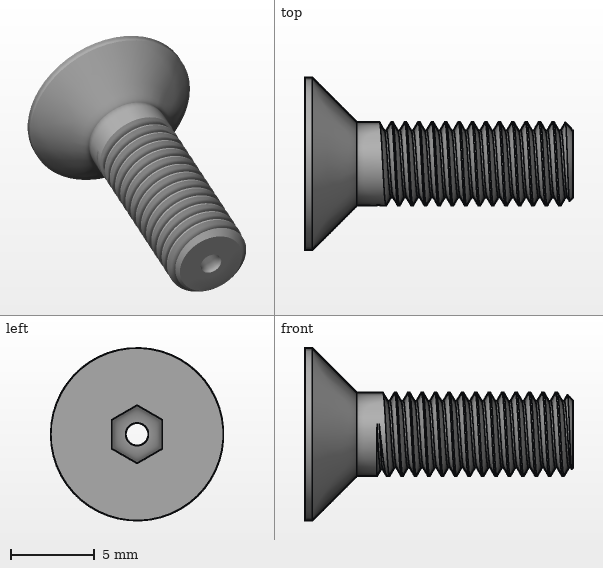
import cadquery as cq
import math

length = 16.0
head_radius = 5.155
head_height = 3.1
shank_radius = 2.5
rim_thickness = head_height - (head_radius - shank_radius)

socket_across_flats = 3.0
socket_depth = 1.2
bore_diameter = 1.33

pitch = 0.8
flank_angle = 30
depth_per_pitch = 0.613
flank_slope = math.tan(math.radians(flank_angle))
crest_flat = pitch / 8
thread_depth = depth_per_pitch * pitch
root_half_width = (pitch - crest_flat) / 2 - thread_depth * flank_slope
tip_chamfer = thread_depth

groove_start_x = 4.37
groove_start_degrees = 166
fade_in_turns = 0.5
stations_per_turn = 16
cutter_clearance = 0.1
groove_turns = (length + pitch - groove_start_x) / pitch


def make_blank():
    """Head and shank as one turned body."""
    return (
        cq.Workplane("XY")
        .moveTo(0, 0)
        .lineTo(0, head_radius)
        .lineTo(rim_thickness, head_radius)
        .lineTo(head_height, shank_radius)
        .lineTo(length - tip_chamfer, shank_radius)
        .lineTo(length, shank_radius - tip_chamfer)
        .lineTo(length, 0)
        .close()
        .revolve(360, (0, 0, 0), (1, 0, 0))
    )


def groove_depth(turn):
    """Depth below the shank surface; it deepens smoothly along the fade-in."""
    progress = min(turn / fade_in_turns, 1)
    return thread_depth * math.sin(progress * math.pi / 2)


def groove_corners(turn):
    """Corners of the groove section: root left and right, then mouth right and left."""
    depth = groove_depth(turn)
    root_radius = shank_radius - depth
    mouth_radius = shank_radius + cutter_clearance
    mouth_half = root_half_width + (mouth_radius - root_radius) * flank_slope
    centre_x = groove_start_x + pitch * turn
    angle = math.radians(groove_start_degrees) + 2 * math.pi * turn
    section = [
        (-root_half_width, root_radius),
        (root_half_width, root_radius),
        (mouth_half, mouth_radius),
        (-mouth_half, mouth_radius),
    ]
    return [
        cq.Vector(centre_x + offset, radius * math.cos(angle), radius * math.sin(angle))
        for offset, radius in section
    ]


def make_groove_cutter():
    """Solid bounded by ruled faces between the four helical corner curves."""
    station_count = round(groove_turns * stations_per_turn)
    sections = [groove_corners(groove_turns * i / station_count) for i in range(station_count + 1)]
    curves = [cq.Edge.makeSpline(list(points)) for points in zip(*sections)]
    sides = [cq.Face.makeRuledSurface(curves[i - 1], curves[i]) for i in range(len(curves))]
    ends = [
        cq.Face.makeFromWires(cq.Wire.makePolygon(section, close=True))
        for section in (sections[0], sections[-1])
    ]
    return cq.Solid.makeSolid(cq.Shell.makeShell(sides + ends))


def make_socket():
    """Hexagon with corners pointing along Z."""
    across_corners = socket_across_flats / math.cos(math.pi / 6)
    return (
        cq.Workplane("YZ")
        .transformed(rotate=(0, 0, 90))
        .polygon(6, across_corners)
        .extrude(socket_depth)
    )


def make_bore():
    """Round hole along the whole axis."""
    return cq.Workplane("YZ").circle(bore_diameter / 2).extrude(length)


threaded_body = make_blank().cut(cq.Workplane(make_groove_cutter()))
result = threaded_body.cut(make_socket()).cut(make_bore())